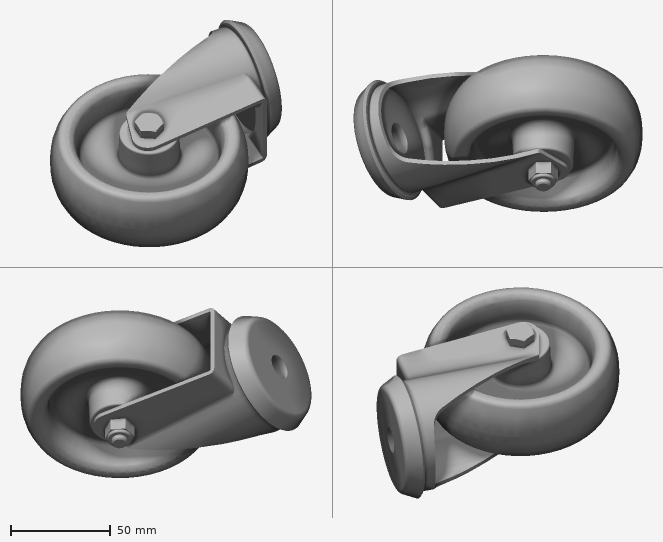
import cadquery as cq
import math


trail = 32.0
head_top = 76.9
wheel_radius = 50.0
clearance = 126.8

flange_radius = 31.6
flange_bottom = 67.4
flange_lip_radius = 30.3
flange_edge = 68.5
flange_top_radius = 27.4
flange_top_fillet = 3.0
mount_hole_radius = 6.6

wall = 2.3
cup_radius = 28.4
cup_top_fillet = 1.6
leg_outer = 22.1
leg_inner = leg_outer - wall
roof_top = 63.4
roof_fillet = 3.0
flare_radius = 5.6
roof_bend_radius = 3.0
countersink_radius = 8.2
plate_bottom = flange_bottom - wall
fork_bottom = -19.0

skirt_edge = 61.4
skirt_angle = math.radians(10)
front_angle = math.radians(64.2)
front_corner_x = 16.9
front_corner_y = -5.7
heel_corner_x = 45.7
heel_corner_y = -13.8
roof_end_x = 36.7
skirt_blend = 11.8
front_corner_fillet = 1.9
heel_fillet = 8.0

tread_half_width = 17.5
shoulder_half_width = 14.7
shoulder_radius = 46.7
crown_radius = 42.7
rim_radius = 35.3
rim_fillet = 2.3
rim_lean = math.radians(70)
web_half = 2.5
cone_radius = 25.0
cone_top = 3.2
hub_fillet = 2.0
hub_base_radius = 15.7
hub_radius = 15.1
hub_edge = 1.0

bolt_radius = 4.0
hex_flats = 13.0
bolt_head_height = 5.3
bolt_end = 33.1
bolt_end_chamfer = 0.6
nut_hex_height = 6.7
collar_radius = 6.2
collar_height = 1.6
collar_fillet = 0.8
hex_corner_radius = hex_flats / math.sqrt(3)
hex_chamfer_drop = 0.5


def y_cylinder(radius, low, high):
    """Cylinder around the swivel axis from y = low to y = high."""
    return cq.Workplane("XZ", origin=(0, low, 0)).circle(radius).extrude(low - high)


def fork_block(radius, cup_high, half_width, roof_high, edge_fillet, flare):
    """Cup cylinder with the leg block beside it, blended by flares where they meet."""
    cup = y_cylinder(radius, fork_bottom, cup_high).rotate((0, 0, 0), (0, 1, 0), 180)
    block = (
        cq.Workplane("XY")
        .box(clearance, roof_high - fork_bottom, 2 * half_width, centered=(False, False, True))
        .translate((0, fork_bottom, 0))
        .edges("|X and >Y")
        .fillet(edge_fillet)
    )
    flare_z = half_width + flare
    flare_x = math.sqrt((radius + flare) ** 2 - flare_z**2)
    shrink = radius / (radius + flare)
    shape = cup.union(block)
    for side in (1, -1):
        wedge = (
            cq.Workplane("XZ", origin=(0, fork_bottom, 0))
            .moveTo(flare_x * shrink, side * flare_z * shrink)
            .lineTo(flare_x * shrink, side * (half_width - edge_fillet))
            .lineTo(flare_x, side * (half_width - edge_fillet))
            .lineTo(flare_x, side * half_width)
            .radiusArc((flare_x * shrink, side * flare_z * shrink), side * flare)
            .close()
            .extrude(fork_bottom - roof_high + edge_fillet)
        )
        shape = shape.union(wedge)
    return shape


def fork_outline():
    """Side outline of the fork, as a prism through its whole width."""
    run = front_corner_x + cup_radius
    rise = skirt_edge - front_corner_y
    knee_dx = (rise - run * math.tan(front_angle)) / (math.tan(skirt_angle) - math.tan(front_angle))
    knee_x = knee_dx - cup_radius
    knee_y = skirt_edge - knee_dx * math.tan(skirt_angle)
    skirt_start_x = -clearance
    skirt_start_y = skirt_edge + (clearance - cup_radius) * math.tan(skirt_angle)
    heel_slope = (heel_corner_x - roof_end_x) / (roof_top - heel_corner_y)
    rear_top_x = heel_corner_x - heel_slope * (clearance - heel_corner_y)
    prism = (
        cq.Workplane("XY", origin=(0, 0, -clearance / 2))
        .moveTo(skirt_start_x, skirt_start_y)
        .lineTo(knee_x, knee_y)
        .lineTo(front_corner_x, front_corner_y)
        .lineTo(heel_corner_x, heel_corner_y)
        .lineTo(rear_top_x, clearance)
        .lineTo(skirt_start_x, clearance)
        .close()
        .extrude(clearance)
    )
    corners = (
        (knee_x, knee_y, skirt_blend),
        (front_corner_x, front_corner_y, front_corner_fillet),
        (heel_corner_x, heel_corner_y, heel_fillet),
    )
    for x, y, radius in corners:
        prism = prism.edges(cq.NearestToPointSelector((x, y, 0))).fillet(radius)
    return prism


def make_flange():
    """Conical flange of the swivel head."""
    flange = (
        cq.Workplane("XY")
        .moveTo(0, flange_bottom)
        .lineTo(flange_lip_radius, flange_bottom)
        .lineTo(flange_radius, flange_edge)
        .lineTo(flange_top_radius, head_top)
        .lineTo(0, head_top)
        .close()
        .revolve(360, (0, 0, 0), (0, 1, 0))
    )
    return flange.faces(">Y").edges().fillet(flange_top_fillet)


def make_fork():
    """Bent fork with its swivel head."""
    outer = fork_block(cup_radius, flange_bottom, leg_outer, roof_top, roof_fillet, flare_radius)
    outer = outer.faces(">Y").edges().fillet(cup_top_fillet)
    inner = fork_block(
        cup_radius - wall,
        plate_bottom,
        leg_inner,
        roof_top - wall,
        roof_fillet - wall,
        flare_radius + wall,
    )
    roof_corner = (cup_radius - wall, roof_top - wall, 0)
    inner = inner.edges(cq.NearestToPointSelector(roof_corner)).fillet(roof_bend_radius)
    shell = outer.cut(inner).intersect(fork_outline())
    countersink = cq.Solid.makeCone(
        countersink_radius,
        mount_hole_radius,
        wall,
        pnt=cq.Vector(0, plate_bottom, 0),
        dir=cq.Vector(0, 1, 0),
    )
    mount_hole = y_cylinder(mount_hole_radius, plate_bottom, head_top)
    axle_hole = (
        cq.Workplane("XY").center(trail, 0).circle(bolt_radius).extrude(leg_outer, both=True)
    )
    return shell.union(make_flange()).cut(countersink).cut(mount_hole).cut(axle_hole)


def make_wheel():
    """Wheel with a rounded tread, dished web and hub, bored for the bolt."""
    rim_foot = rim_radius - rim_fillet * math.sin(rim_lean)
    rim_base = web_half + rim_fillet * (1 - math.cos(rim_lean))
    rim_slope = (math.cos(rim_lean), math.sin(rim_lean))
    arc_share = 1 - math.sqrt(0.5)
    upper = (
        cq.Workplane("XZ")
        .moveTo(bolt_radius, 0)
        .lineTo(bolt_radius, leg_inner)
        .lineTo(hub_radius - hub_edge, leg_inner)
        .threePointArc(
            (hub_radius - arc_share * hub_edge, leg_inner - arc_share * hub_edge),
            (hub_radius, leg_inner - hub_edge),
        )
        .lineTo(hub_base_radius, cone_top + hub_fillet)
        .threePointArc(
            (hub_base_radius + arc_share * hub_fillet, cone_top + arc_share * hub_fillet),
            (hub_base_radius + hub_fillet, cone_top),
        )
        .lineTo(cone_radius, web_half)
        .lineTo(rim_foot, web_half)
        .tangentArcPoint((rim_radius, rim_base), relative=False)
        .spline(
            [(crown_radius, tread_half_width)],
            tangents=[rim_slope, (1, 0)],
            includeCurrent=True,
        )
        .spline(
            [(shoulder_radius, shoulder_half_width), (wheel_radius, 0)],
            tangents=[(1, 0), (0, -1)],
            includeCurrent=True,
        )
        .close()
        .revolve(360, (0, 0, 0), (0, 1, 0))
    )
    return upper.union(upper.mirror("XY")).translate((trail, 0, 0))


def hex_prism(low, height):
    """Hexagon on the axle with corners toward X."""
    return (
        cq.Workplane("XY", origin=(trail, 0, low)).polygon(6, 2 * hex_corner_radius).extrude(height)
    )


def make_bolt():
    """Hexagon bolt through the fork legs and the hub."""
    shank = cq.Workplane("XY", origin=(trail, 0, -bolt_end)).circle(bolt_radius)
    shank = shank.extrude(bolt_end + leg_outer).faces("<Z").chamfer(bolt_end_chamfer)
    head = hex_prism(leg_outer, bolt_head_height)
    cone = (
        cq.Workplane("XY", origin=(trail, 0, leg_outer))
        .circle(hex_corner_radius)
        .extrude(bolt_head_height)
        .faces(">Z")
        .chamfer(hex_chamfer_drop, hex_corner_radius - hex_flats / 2)
    )
    return shank.union(head.intersect(cone))


def make_nut():
    """Lock nut with a round collar below its hexagon."""
    hex_bottom = -leg_outer - nut_hex_height
    collar = (
        cq.Workplane("XY", origin=(trail, 0, hex_bottom - collar_height))
        .circle(collar_radius)
        .extrude(collar_height)
        .faces("<Z")
        .edges()
        .fillet(collar_fillet)
    )
    bore = cq.Workplane("XY", origin=(trail, 0, -bolt_end)).circle(bolt_radius).extrude(bolt_end)
    return hex_prism(hex_bottom, nut_hex_height).union(collar).cut(bore)


fork = make_fork()
wheel = make_wheel()
bolt = make_bolt()
nut = make_nut()

result = cq.Compound.makeCompound([fork.val(), wheel.val(), bolt.val(), nut.val()])